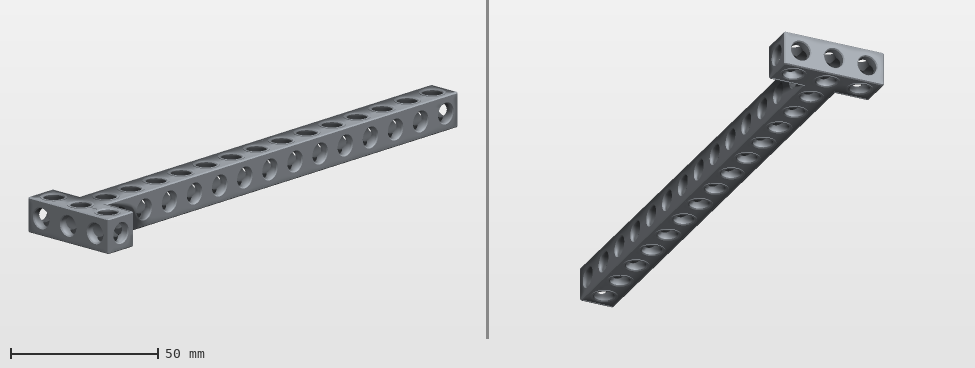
import cadquery as cq

length = 187.5
stem_cells = 15
bar_cells = 3
hole_diameter = 7.0
collar_diameter = 9.2
pocket_depth = 0.2
rim_width = 0.8
rib_width = 0.4
chamfer = 0.4

pitch = length / stem_cells
bar_length = bar_cells * pitch

stem_centers = [i * pitch for i in range(stem_cells)]
bar_centers = [(i - (bar_cells - 1) / 2) * pitch for i in range(bar_cells)]
vertical_holes = [(0, y) for y in stem_centers] + [(x, 0) for x in bar_centers if x != 0]


def t_block(thickness, inset=0.0):
    """T-shaped block centred on Z = 0, with its outline moved inward by the inset."""
    width = pitch - 2 * inset
    bar = cq.Workplane("XY").box(bar_length - 2 * inset, width, thickness)
    stem = cq.Workplane("XY").box(width, length - 2 * inset, thickness)
    return bar.union(stem.translate((0, (length - pitch) / 2, 0))).clean()


def cylinder(axis, center, diameter, span):
    """Cylinder along the axis, centred on the given point."""
    start = cq.Vector(*center) - axis * (span / 2)
    return cq.Solid.makeCylinder(diameter / 2, span, start, axis)


def chamfered_hole(axis, center, span):
    """Through hole between two faces a span apart, with a chamfer at each mouth."""
    middle = cq.Vector(*center)
    tool = cylinder(axis, center, hole_diameter, span)
    for direction in (axis, -axis):
        mouth = cq.Solid.makeCone(
            hole_diameter / 2 + chamfer,
            hole_diameter / 2,
            chamfer,
            middle + direction * (span / 2),
            -direction,
        )
        tool = tool.fuse(mouth)
    return tool


result = t_block(pitch)
result = result.edges("|Z").edges("<X or >X or >Y").chamfer(chamfer)
result = result.faces("<Z or >Z").edges().chamfer(chamfer)

pocket = t_block(pocket_depth, rim_width)
for x, y in vertical_holes:
    collar = cylinder(cq.Vector(0, 0, 1), (x, y, 0), collar_diameter, pocket_depth)
    pocket = pocket.cut(cq.Workplane(collar))
pocket_height = (pitch - pocket_depth) / 2
rib = cq.Workplane("XY").box(pitch, rib_width, pocket_depth).translate((pitch / 2, 0, 0))
result = result.cut(pocket.translate((0, 0, -pocket_height)))
result = result.cut(pocket.cut(rib).translate((0, 0, pocket_height)))

for x, y in vertical_holes:
    result = result.cut(cq.Workplane(chamfered_hole(cq.Vector(0, 0, 1), (x, y, 0), pitch)))

for x in bar_centers:
    span = length if x == 0 else pitch
    center = (x, (span - pitch) / 2, 0)
    result = result.cut(cq.Workplane(chamfered_hole(cq.Vector(0, 1, 0), center, span)))

for y in stem_centers:
    span = bar_length if y == 0 else pitch
    result = result.cut(cq.Workplane(chamfered_hole(cq.Vector(1, 0, 0), (0, y, 0), span)))